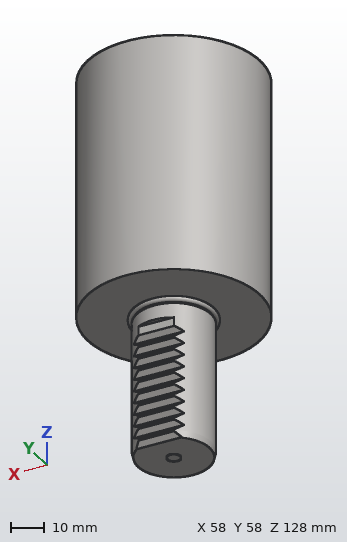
import cadquery as cq
import math

TOTAL_LENGTH = 128.0
HEAD_LENGTH = 80.0
HEAD_DIAMETER = 58.0

PIP_RADIUS = 2.2
PIP_HEIGHT = 0.3

SHANK_LENGTH = TOTAL_LENGTH - HEAD_LENGTH - PIP_HEIGHT
SHANK_RADIUS = 12.5

LEAD_IN_LENGTH = 2.0
LEAD_IN_DEPTH = 0.5

RING_SECTION_RADIUS = 0.9
RING_OUTER_RADIUS = 13.7
RING_CENTRE_RADIUS = RING_OUTER_RADIUS - RING_SECTION_RADIUS

NECK_LENGTH = 2.2
NECK_RADIUS = RING_CENTRE_RADIUS - RING_SECTION_RADIUS

FLAT_START = 7.0
FLAT_Y = 11.0
TOOTH_DEPTH = 1.7
FIRST_VALLEY = 11.6
VALLEY_COUNT = 10
VALLEY_SPAN = 36.0
TOOTH_PITCH = VALLEY_SPAN / (VALLEY_COUNT - 1)

COUNTERSINK_RADIUS = 2.2
PILOT_RADIUS = 1.3
PILOT_LENGTH = 2.5
COUNTERSINK_HALF_ANGLE = 30.0
COUNTERSINK_DEPTH = (COUNTERSINK_RADIUS - PILOT_RADIUS) / math.tan(math.radians(COUNTERSINK_HALF_ANGLE))
DRILL_HALF_ANGLE = 60.0
DRILL_TIP_LENGTH = PILOT_RADIUS / math.tan(math.radians(DRILL_HALF_ANGLE))


def make_blank():
    """Turned head, neck and shank as one revolved profile."""
    return (
        cq.Workplane("XZ")
        .moveTo(0, HEAD_LENGTH)
        .lineTo(HEAD_DIAMETER / 2, HEAD_LENGTH)
        .lineTo(HEAD_DIAMETER / 2, 0)
        .lineTo(NECK_RADIUS, 0)
        .lineTo(NECK_RADIUS, -NECK_LENGTH)
        .lineTo(SHANK_RADIUS, -NECK_LENGTH)
        .lineTo(SHANK_RADIUS, LEAD_IN_LENGTH - SHANK_LENGTH)
        .lineTo(SHANK_RADIUS - LEAD_IN_DEPTH, -SHANK_LENGTH)
        .lineTo(PIP_RADIUS, -SHANK_LENGTH)
        .lineTo(PIP_RADIUS, -SHANK_LENGTH - PIP_HEIGHT)
        .lineTo(0, -SHANK_LENGTH - PIP_HEIGHT)
        .close()
        .revolve(360, (0, 0), (0, 1))
    )


def make_centre_hole():
    """Countersunk centre hole going down from the top of the head."""
    pilot_start = HEAD_LENGTH - COUNTERSINK_DEPTH
    pilot_end = pilot_start - PILOT_LENGTH
    return (
        cq.Workplane("XZ")
        .moveTo(0, HEAD_LENGTH)
        .lineTo(COUNTERSINK_RADIUS, HEAD_LENGTH)
        .lineTo(PILOT_RADIUS, pilot_start)
        .lineTo(PILOT_RADIUS, pilot_end)
        .lineTo(0, pilot_end - DRILL_TIP_LENGTH)
        .close()
        .revolve(360, (0, 0), (0, 1))
    )


def make_flat_cutter():
    """Block that removes the shank beyond the flat, from its start to the free end."""
    return cq.Workplane("XY").box(
        2 * SHANK_RADIUS, SHANK_RADIUS, SHANK_LENGTH - FLAT_START, centered=(True, False, False)
    ).translate((0, FLAT_Y, -SHANK_LENGTH))


def make_valley_cutter(valley_z):
    """Right-angled V groove running along X across the flat."""
    return (
        cq.Workplane("YZ")
        .moveTo(FLAT_Y - TOOTH_DEPTH, valley_z)
        .lineTo(FLAT_Y, valley_z + TOOTH_DEPTH)
        .lineTo(FLAT_Y, valley_z - TOOTH_DEPTH)
        .close()
        .extrude(SHANK_RADIUS, both=True)
    )


def make_holder():
    """Head and serrated shank with a centre hole in the top."""
    holder = make_blank().cut(make_flat_cutter())
    for index in range(VALLEY_COUNT):
        holder = holder.cut(make_valley_cutter(-FIRST_VALLEY - index * TOOTH_PITCH))
    return holder.cut(make_centre_hole())


def make_seal_ring():
    """O-ring lying in the neck, touching its floor and the seating face."""
    return (
        cq.Workplane("XZ")
        .center(RING_CENTRE_RADIUS, -RING_SECTION_RADIUS)
        .circle(RING_SECTION_RADIUS)
        .revolve(360, (-RING_CENTRE_RADIUS, 0), (-RING_CENTRE_RADIUS, 1))
    )


holder = make_holder()
seal_ring = make_seal_ring()

result = cq.Compound.makeCompound([holder.val(), seal_ring.val()])